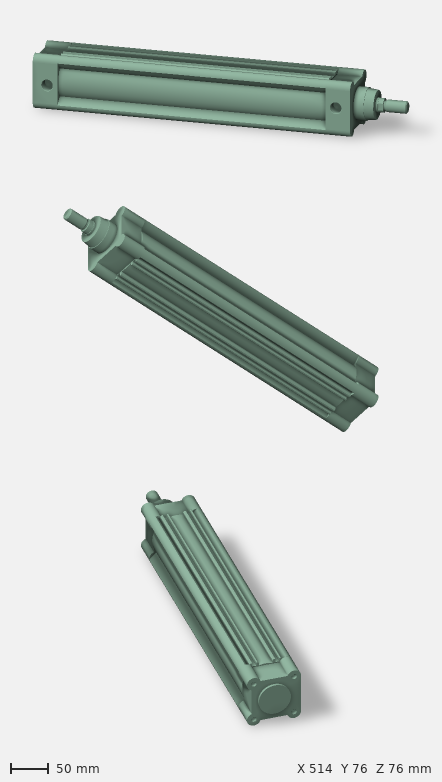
import cadquery as cq
import math

TOTAL_LENGTH = 514.0
WIDTH = 76.0
HALF_WIDTH = WIDTH / 2

REAR_SPIGOT_LENGTH = 3.5
CAP_LENGTH = 34.5
BARREL_LENGTH = 372.5
REAR_CAP_END = REAR_SPIGOT_LENGTH + CAP_LENGTH
BARREL_END = REAR_CAP_END + BARREL_LENGTH
FRONT_CAP_END = BARREL_END + CAP_LENGTH

BOLT_OFFSET = 28.5
CORNERS = [(y, z) for y in (-BOLT_OFFSET, BOLT_OFFSET) for z in (-BOLT_OFFSET, BOLT_OFFSET)]
LOBE_RADIUS = HALF_WIDTH - BOLT_OFFSET
CAP_WAIST = 31.5
BOLT_HOLE_DIAMETER = 6.5
BOLT_HOLE_CHAMFER = 0.5
BOLT_HOLE_DEPTH = 15.5
PORT_DIAMETER = 15.5
PORT_CHAMFER = 0.5
PORT_DEPTH = 15.5
PORT_SHIFT = 2.5
REAR_PORT_X = 23.5
FRONT_PORT_X = 425.0
SPIGOT_DIAMETER = 45.0

NOSE_STEP_LENGTH = 14.0
NOSE_TIP_LENGTH = 13.0
NOSE_TIP_DIAMETER = 43.0
NOSE_END_DIAMETER = 40.0
NOSE_END = FRONT_CAP_END + NOSE_STEP_LENGTH + NOSE_TIP_LENGTH

TUBE_RADIUS = 34.0
NOTCH_HALF = 19.5
LOBE_EDGE = 29.5
WALL_THICKNESS = 3.5
WALL_TIP = 2.0
WALL_BEVEL_DEPTH = 1.5
LIP_INNER = 19.0
LIP_OUTER = LIP_INNER + WALL_THICKNESS
RIB_OUTER = 13.5
RIB_INNER = RIB_OUTER - WALL_THICKNESS
GROOVE_FLOOR = 33.0

COLLAR_DIAMETER = 20.5
COLLAR_LENGTH = 3.0
ROD_DIAMETER = 19.5
FLATS_LENGTH = 7.0
FLATS_WIDTH = 17.0
NECK_LENGTH = 2.0
NECK_DIAMETER = 14.0
STUD_DIAMETER = 17.0
STUD_CHAMFER = 1.5


def x_cylinder(diameter, start, length):
    """Cylinder on the part axis running along +X from start."""
    return cq.Workplane("YZ", origin=(start, 0, 0)).circle(diameter / 2).extrude(length)


def cap_block(start):
    """Cap with four round corner lobes, waisted on three sides and flat on -Y."""
    base = cq.Workplane("YZ", origin=(start, 0, 0))
    core = base.rect(2 * CAP_WAIST, 2 * CAP_WAIST).extrude(CAP_LENGTH)
    lobes = base.pushPoints(CORNERS).circle(LOBE_RADIUS).extrude(CAP_LENGTH)
    flat_side = (
        base.center(-(HALF_WIDTH + BOLT_OFFSET) / 2, 0)
        .rect(HALF_WIDTH - BOLT_OFFSET, 2 * BOLT_OFFSET)
        .extrude(CAP_LENGTH)
    )
    return core.union(lobes).union(flat_side)


def chamfered_plug(mouth, diameter, chamfer, depth):
    """Round cutter whose end at the mouth plane flares out by the chamfer size."""
    shaft = mouth.circle(diameter / 2).extrude(depth)
    flare_depth = math.copysign(chamfer, depth)
    flare = mouth.circle(diameter / 2 + chamfer).workplane(offset=flare_depth).circle(diameter / 2).loft()
    return shaft.union(flare)


def port_cutter(x, z):
    """Round air port with a chamfered mouth, sunk from the flat -Y side."""
    mouth = cq.Workplane("XZ", origin=(x, -HALF_WIDTH, z))
    return chamfered_plug(mouth, PORT_DIAMETER, PORT_CHAMFER, -PORT_DEPTH)


def make_rear_cap():
    cap = cap_block(REAR_SPIGOT_LENGTH).union(x_cylinder(SPIGOT_DIAMETER, 0, REAR_SPIGOT_LENGTH))
    for y, z in CORNERS:
        mouth = cq.Workplane("YZ", origin=(REAR_SPIGOT_LENGTH, y, z))
        cap = cap.cut(chamfered_plug(mouth, BOLT_HOLE_DIAMETER, BOLT_HOLE_CHAMFER, BOLT_HOLE_DEPTH))
    return cap.cut(port_cutter(REAR_PORT_X, -PORT_SHIFT))


def make_front_cap():
    step_end = FRONT_CAP_END + NOSE_STEP_LENGTH
    tip = (
        cq.Workplane("YZ", origin=(step_end, 0, 0))
        .circle(NOSE_TIP_DIAMETER / 2)
        .workplane(offset=NOSE_TIP_LENGTH)
        .circle(NOSE_END_DIAMETER / 2)
        .loft(combine=True)
    )
    step = x_cylinder(SPIGOT_DIAMETER, FRONT_CAP_END, NOSE_STEP_LENGTH)
    cap = cap_block(BARREL_END).union(step).union(tip)
    return cap.cut(port_cutter(FRONT_PORT_X, PORT_SHIFT))


def corner_profile():
    """Section of one corner rail in the +Y +Z quadrant, closed to the axis inside the tube."""
    arc_end = math.sqrt(TUBE_RADIUS**2 - NOTCH_HALF**2)
    slope = (HALF_WIDTH - arc_end) / (LOBE_EDGE - NOTCH_HALF)
    lip_foot = HALF_WIDTH - slope * (LOBE_EDGE - LIP_OUTER)
    rib_foot = math.sqrt(TUBE_RADIUS**2 - RIB_INNER**2)
    bevel_start = HALF_WIDTH - WALL_BEVEL_DEPTH
    arc_mid = BOLT_OFFSET + LOBE_RADIUS * math.sqrt(0.5)
    return (
        cq.Workplane("YZ", origin=(REAR_CAP_END, 0, 0))
        .moveTo(0, 0)
        .lineTo(arc_end, NOTCH_HALF)
        .lineTo(HALF_WIDTH, LOBE_EDGE)
        .threePointArc((arc_mid, arc_mid), (LOBE_EDGE, HALF_WIDTH))
        .lineTo(LIP_OUTER, lip_foot)
        .lineTo(LIP_OUTER, bevel_start)
        .lineTo(LIP_INNER + WALL_TIP, HALF_WIDTH)
        .lineTo(LIP_INNER, HALF_WIDTH)
        .lineTo(LIP_INNER, GROOVE_FLOOR)
        .lineTo(RIB_OUTER, GROOVE_FLOOR)
        .lineTo(RIB_OUTER, HALF_WIDTH)
        .lineTo(RIB_OUTER - WALL_TIP, HALF_WIDTH)
        .lineTo(RIB_INNER, bevel_start)
        .lineTo(RIB_INNER, rib_foot)
        .close()
    )


def make_barrel():
    """Round tube body with four mirrored corner rails carrying the sensor grooves."""
    rail = corner_profile().extrude(BARREL_LENGTH)
    upper_rails = rail.union(rail.mirror("XZ"))
    barrel = x_cylinder(2 * TUBE_RADIUS, REAR_CAP_END, BARREL_LENGTH)
    return barrel.union(upper_rails).union(upper_rails.mirror("XY"))


def make_rod():
    """Rod with collar, spanner flats facing +Y and -Y, neck and a stud chamfered at both ends."""
    flats_start = NOSE_END + COLLAR_LENGTH
    neck_start = flats_start + FLATS_LENGTH
    stud_start = neck_start + NECK_LENGTH
    collar = x_cylinder(COLLAR_DIAMETER, NOSE_END, COLLAR_LENGTH)
    flats_slab = (
        cq.Workplane("YZ", origin=(flats_start, 0, 0)).rect(FLATS_WIDTH, ROD_DIAMETER).extrude(FLATS_LENGTH)
    )
    flats = x_cylinder(ROD_DIAMETER, flats_start, FLATS_LENGTH).intersect(flats_slab)
    neck = x_cylinder(NECK_DIAMETER, neck_start, NECK_LENGTH)
    stud = x_cylinder(STUD_DIAMETER, stud_start, TOTAL_LENGTH - stud_start).edges().chamfer(STUD_CHAMFER)
    return collar.union(flats).union(neck).union(stud)


rear_cap = make_rear_cap()
barrel = make_barrel()
front_cap = make_front_cap()
rod = make_rod()

result = cq.Compound.makeCompound([rear_cap.val(), barrel.val(), front_cap.val(), rod.val()])